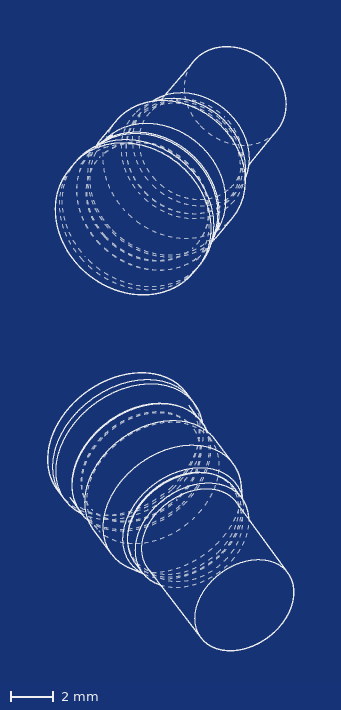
import cadquery as cq
import math


total_length = 15.49
head_radius = 7.6 / 2

dome_radius = 6.97
cap_edge_fillet = 0.26
cap_back_y = 1.8

head_back_y = 2.17
collar_back_y = 3.44
skirt_front_y = 3.53
neck_front_y = 4.6
neck_back_y = 4.88
shoulder_y = 7.13
housing_back_y = 8.38

collar_radius = 7.08 / 2
collar_root_fillet = 0.11
groove_floor_radius = 3.07
barrel_radius = 7.14 / 2
neck_radius = 6.82 / 2
barrel_edge_fillet = barrel_radius - neck_radius
housing_back_radius = 3.11

flange_radius = 2.93
flange_back_y = 9.42
flange_bevel_length = 0.14
flange_bevel_depth = 0.06
stem_base_radius = 2.6
stem_end_radius = 2.55


def revolve_about_y(profile):
    """Turn a closed half-profile, drawn as (radius, Y), about the Y axis."""
    return profile.close().revolve(360, (0, 0), (0, 1))


def arc_middle(center, radius, angle):
    """Point on a circle at an angle in degrees from the radial direction."""
    turn = math.radians(angle)
    return (center[0] + radius * math.cos(turn), center[1] + radius * math.sin(turn))


def dome_height(radius):
    """Y of the spherical dome at a given distance from the axis."""
    return dome_radius - math.sqrt(dome_radius**2 - radius**2)


def make_cap():
    """Domed disc with a rounded rim, resting on the housing head."""
    rim_y = dome_height(head_radius)
    middle_radius = head_radius / 2
    profile = (
        cq.Workplane("XY")
        .moveTo(0, 0)
        .threePointArc((middle_radius, dome_height(middle_radius)), (head_radius, rim_y))
        .lineTo(head_radius, cap_back_y)
        .lineTo(0, cap_back_y)
    )
    cap = revolve_about_y(profile)
    rim_selector = cq.selectors.NearestToPointSelector((0, rim_y, 0))
    return cap.edges(rim_selector).fillet(cap_edge_fillet)


def make_housing():
    """Head, collar, snap groove, flared skirt and tapered barrel in one piece."""
    root_center = (collar_radius + collar_root_fillet, head_back_y + collar_root_fillet)
    edge_center = (neck_radius, neck_back_y + barrel_edge_fillet)
    profile = (
        cq.Workplane("XY")
        .moveTo(0, cap_back_y)
        .lineTo(head_radius, cap_back_y)
        .lineTo(head_radius, head_back_y)
        .lineTo(root_center[0], head_back_y)
        .threePointArc(
            arc_middle(root_center, collar_root_fillet, 225),
            (collar_radius, root_center[1]),
        )
        .lineTo(collar_radius, collar_back_y)
        .lineTo(groove_floor_radius, collar_back_y)
        .lineTo(groove_floor_radius, skirt_front_y)
        .lineTo(barrel_radius, skirt_front_y)
        .lineTo(neck_radius, neck_front_y)
        .lineTo(neck_radius, neck_back_y)
        .threePointArc(
            arc_middle(edge_center, barrel_edge_fillet, -45),
            (barrel_radius, edge_center[1]),
        )
        .lineTo(barrel_radius, shoulder_y)
        .lineTo(housing_back_radius, housing_back_y)
        .lineTo(0, housing_back_y)
    )
    return revolve_about_y(profile)


def make_stem():
    """Slightly tapered rod with a bevelled flange resting on the housing."""
    profile = (
        cq.Workplane("XY")
        .moveTo(0, housing_back_y)
        .lineTo(flange_radius - flange_bevel_depth, housing_back_y)
        .lineTo(flange_radius, housing_back_y + flange_bevel_length)
        .lineTo(flange_radius, flange_back_y)
        .lineTo(stem_base_radius, flange_back_y)
        .lineTo(stem_end_radius, total_length)
        .lineTo(0, total_length)
    )
    return revolve_about_y(profile)


cap = make_cap()
housing = make_housing()
stem = make_stem()

result = cq.Compound.makeCompound([cap.solids().val(), housing.val(), stem.val()])